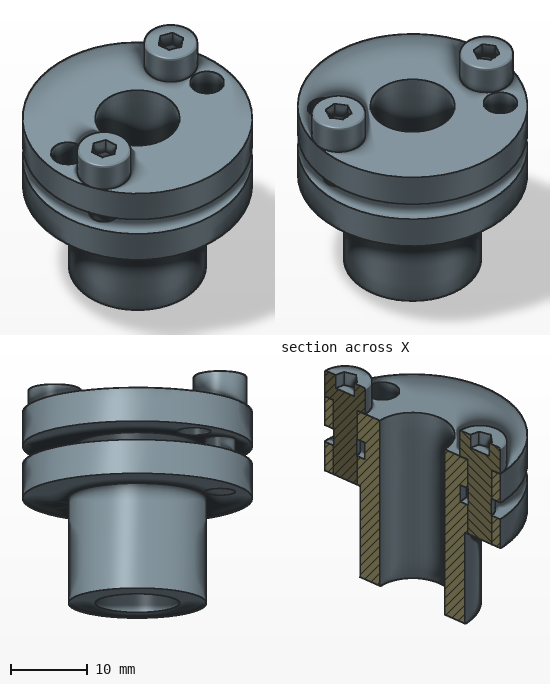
import cadquery as cq
import math

flange_diameter = 30.0
flange_thickness = 4.5
sleeve_diameter = 18.0
sleeve_length = 14.0
neck_diameter = 16.35
neck_length = 2.5
bore_diameter = 11.0

bolt_circle_radius = 11.5
screw_angles = (90, 270)
open_hole_angles = (60, 240)
open_hole_diameter = 4.4

shank_diameter = 4.0
head_diameter = 7.0
head_height = 4.0
head_edge_radius = 0.35
socket_across_flats = 3.0
socket_depth = 2.0
socket_turn = -15

lower_flange_top = sleeve_length + flange_thickness
upper_flange_bottom = lower_flange_top + neck_length
hub_top = upper_flange_bottom + flange_thickness
shank_length = hub_top - sleeve_length


def cylinder(diameter, height, bottom, center=(0, 0)):
    """Upright cylinder standing on the level `bottom`."""
    return cq.Workplane(origin=(*center, bottom)).circle(diameter / 2).extrude(height)


def on_bolt_circle(angle):
    turn = math.radians(angle)
    return (bolt_circle_radius * math.cos(turn), bolt_circle_radius * math.sin(turn))


def make_hub():
    hub = (
        cylinder(sleeve_diameter, sleeve_length, 0)
        .union(cylinder(flange_diameter, flange_thickness, sleeve_length))
        .union(cylinder(neck_diameter, neck_length, lower_flange_top))
        .union(cylinder(flange_diameter, flange_thickness, upper_flange_bottom))
        .cut(cylinder(bore_diameter, hub_top, 0))
    )
    for angle in screw_angles:
        hub = hub.cut(cylinder(shank_diameter, shank_length, sleeve_length, on_bolt_circle(angle)))
    for angle in open_hole_angles:
        hub = hub.cut(
            cylinder(open_hole_diameter, flange_thickness, upper_flange_bottom, on_bolt_circle(angle))
        )
    return hub


def make_screw(angle):
    """Cap screw seated on the upper flange, its shank flush with the underside of the lower one."""
    center = on_bolt_circle(angle)
    head = cylinder(head_diameter, head_height, hub_top, center).faces(">Z").edges().fillet(head_edge_radius)
    shank = cylinder(shank_diameter, shank_length, sleeve_length, center)
    socket_across_corners = socket_across_flats / math.cos(math.pi / 6)
    socket = (
        cq.Workplane(origin=(*center, hub_top + head_height - socket_depth))
        .transformed(rotate=(0, 0, socket_turn))
        .polygon(6, socket_across_corners)
        .extrude(socket_depth)
    )
    return head.union(shank).cut(socket)


hub = make_hub()
screws = [make_screw(angle) for angle in screw_angles]

result = cq.Compound.makeCompound([hub.val(), *[screw.val() for screw in screws]])